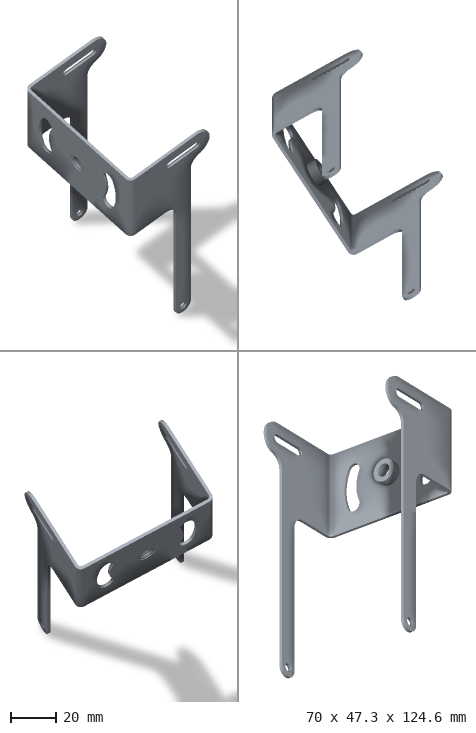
import cadquery as cq
import math

width = 70.0
depth = 47.3
height = 124.6

thickness = 1.5
outer_bend_radius = 3.0
inner_bend_radius = outer_bend_radius - thickness

plate_height = 41.4
slot_path_radius = 22.2
slot_width = 6.6
slot_half_angle = math.radians(23)
boss_diameter = 11.2
boss_height = 4.5
boss_bore = 6.4
recess_diameter = 8.6
recess_depth = 0.4

lobe_radius = 7.8
leg_width = 9.0
leg_rear_setback = 11.2
arm_fillet_radius = 6.4
arm_slot_length = 19.5
arm_slot_width = 4.1
arm_slot_rear_margin = 6.0
leg_hole_diameter = 4.0

plate_bottom = height - plate_height
plate_center_z = height - plate_height / 2
leg_rear = depth - leg_rear_setback
leg_front = leg_rear - leg_width
leg_center_y = (leg_front + leg_rear) / 2
leg_tip_radius = leg_width / 2
lobe_y = depth - lobe_radius
lobe_z = height - lobe_radius


def bent_channel():
    """U-shaped sheet, extruded over the full height, with rounded bends."""
    outer = (
        cq.Workplane("XY")
        .box(width, depth, height, centered=(True, False, False))
        .edges("|Z and <Y")
        .fillet(outer_bend_radius)
    )
    inner = (
        cq.Workplane("XY")
        .box(width - 2 * thickness, depth, height, centered=(True, False, False))
        .edges("|Z and <Y")
        .fillet(inner_bend_radius)
        .translate((0, thickness, 0))
    )
    return outer.cut(inner)


def side_outline():
    """Arm silhouette in the YZ plane, extruded across the full width."""
    fillet_y = leg_rear + arm_fillet_radius
    center_distance = lobe_radius + arm_fillet_radius
    fillet_z = lobe_z - math.sqrt(center_distance**2 - (fillet_y - lobe_y) ** 2)
    lobe_share = lobe_radius / center_distance
    tangent_y = lobe_y + lobe_share * (fillet_y - lobe_y)
    tangent_z = lobe_z + lobe_share * (fillet_z - lobe_z)

    start_angle = math.atan2(lobe_z - fillet_z, lobe_y - fillet_y)
    middle_angle = (start_angle + math.pi) / 2
    fillet_middle = (
        fillet_y + arm_fillet_radius * math.cos(middle_angle),
        fillet_z + arm_fillet_radius * math.sin(middle_angle),
    )

    corner_y = leg_front - arm_fillet_radius
    corner_z = plate_bottom - arm_fillet_radius
    corner_offset = arm_fillet_radius * math.sqrt(0.5)

    return (
        cq.Workplane("YZ")
        .moveTo(0, height)
        .lineTo(lobe_y, height)
        .threePointArc((depth, lobe_z), (tangent_y, tangent_z))
        .threePointArc(fillet_middle, (leg_rear, fillet_z))
        .lineTo(leg_rear, leg_tip_radius)
        .threePointArc((leg_center_y, 0), (leg_front, leg_tip_radius))
        .lineTo(leg_front, corner_z)
        .threePointArc((corner_y + corner_offset, corner_z + corner_offset), (corner_y, plate_bottom))
        .lineTo(0, plate_bottom)
        .close()
        .extrude(width / 2, both=True)
    )


def arm_openings():
    """Straight slot in each lobe and round hole in each leg tip, through both arms."""
    slot_center_y = depth - arm_slot_rear_margin - arm_slot_length / 2
    slot = (
        cq.Workplane("YZ")
        .center(slot_center_y, lobe_z)
        .slot2D(arm_slot_length, arm_slot_width)
        .extrude(width / 2, both=True)
    )
    hole = (
        cq.Workplane("YZ")
        .center(leg_center_y, leg_tip_radius)
        .circle(leg_hole_diameter / 2)
        .extrude(width / 2, both=True)
    )
    return slot.union(hole)


def plate_cylinder(diameter, start_y, length):
    """Cylinder along +Y on the axis of the plate's central hole."""
    return (
        cq.Workplane("XZ", origin=(0, start_y, plate_center_z))
        .circle(diameter / 2)
        .extrude(-length)
    )


def curved_slot(side):
    """Round-ended slot along an arc about the central hole; side is +1 or -1."""

    def polar(radius, angle):
        return (side * radius * math.cos(angle), radius * math.sin(angle))

    outer_radius = slot_path_radius + slot_width / 2
    inner_radius = slot_path_radius - slot_width / 2
    end_x = slot_path_radius * math.cos(slot_half_angle) - slot_width / 2 * math.sin(slot_half_angle)
    end_z = slot_path_radius * math.sin(slot_half_angle) + slot_width / 2 * math.cos(slot_half_angle)

    return (
        cq.Workplane("XZ", origin=(0, 0, plate_center_z))
        .moveTo(*polar(outer_radius, -slot_half_angle))
        .threePointArc(polar(outer_radius, 0), polar(outer_radius, slot_half_angle))
        .threePointArc((side * end_x, end_z), polar(inner_radius, slot_half_angle))
        .threePointArc(polar(inner_radius, 0), polar(inner_radius, -slot_half_angle))
        .threePointArc((side * end_x, -end_z), polar(outer_radius, -slot_half_angle))
        .close()
        .extrude(-thickness)
    )


bracket = bent_channel().intersect(side_outline()).cut(arm_openings())
for side in (-1, 1):
    bracket = bracket.cut(curved_slot(side))

bracket = bracket.union(plate_cylinder(boss_diameter, thickness, boss_height))
bracket = bracket.cut(plate_cylinder(recess_diameter, 0, recess_depth))
bracket = bracket.cut(plate_cylinder(boss_bore, 0, thickness + boss_height))

result = bracket